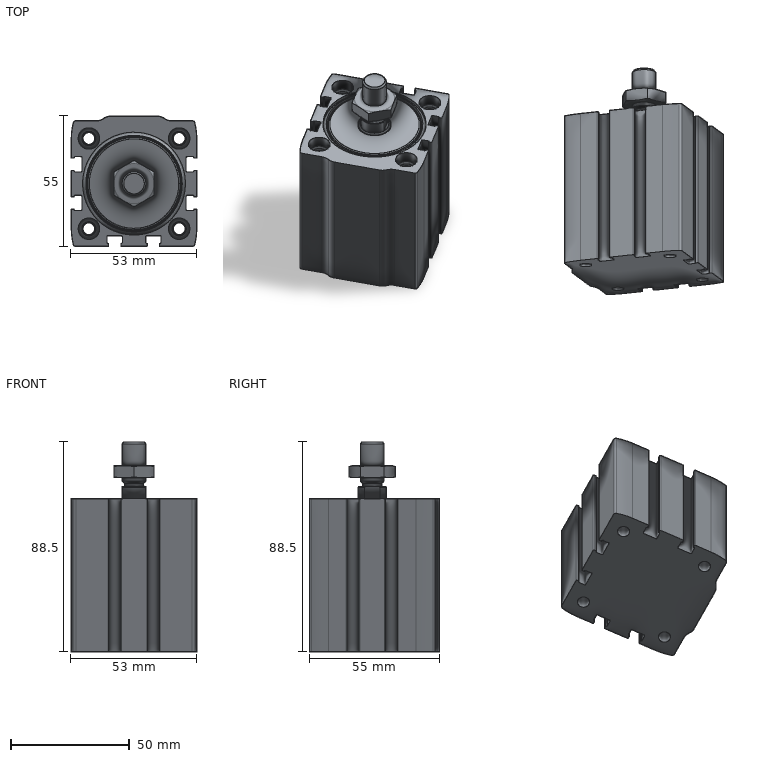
import cadquery as cq
import math

overall_height = 88.5
housing_height = 64.5
housing_width = 53.0
half_width = housing_width / 2

side_flat_half = 18.5
side_arc_radius = 30.1
corner_radius = 1.15
bump_height = 1.95
bump_top_half = 9.8
bump_base_half = 15.75

slot_offset = 8.1
slot_mouth_half = 2.6
slot_inside_half = 3.2
slot_depth = 4.5
slot_neck = 1.2
slot_mouth_fillet = 0.35
slot_shoulder_chamfer = 0.35
slot_floor_fillet = 0.35

hole_offset = 19.0
counterbore_diameter = 9.0
counterbore_depth = 5.0
screw_hole_diameter = 5.0
screw_hole_chamfer = 0.5

cover_recess_diameter = 43.4
cover_drop = 0.4
recess_depth = 1.4
ring_inner_radius = 20.35
ring_drop = 0.5
bore_diameter = 40.0
gap_depth = 1.6
cover_radius = 19.8
cover_step_radius = 19.5
cover_step_drop = 1.15
cover_face_radius = 18.85
cover_edge_drop = 0.7
seal_diameter = 14.1
seal_lip_drop = 0.3
seal_foot_radius = 6.7
seal_groove_drop = 0.9

rod_diameter = 12.0
rod_flats = 10.0
rod_bottom = 35.4
flats_bottom = 64.3
shoulder_height = 69.6
shoulder_chamfer = 0.3
neck_diameter = 8.1
neck_fillet = 0.4
neck_top = 71.0
thread_diameter = 10.0
thread_runout = (thread_diameter - neck_diameter) / 2
tip_diameter = 8.7
tip_chamfer_height = 0.9

nut_bottom = 73.4
nut_height = 5.05
nut_flats = 17.0
nut_corner_drop = 0.35


def make_outline():
    """Square prism with bulging sides, plus the raised bump along the rear."""
    arc_rise = half_width - side_flat_half
    arc_inset = side_arc_radius - math.sqrt(side_arc_radius ** 2 - arc_rise ** 2)
    corner_x = half_width - arc_inset
    prism = (
        cq.Workplane("XY")
        .moveTo(-corner_x, -half_width)
        .lineTo(corner_x, -half_width)
        .radiusArc((half_width, -side_flat_half), -side_arc_radius)
        .lineTo(half_width, side_flat_half)
        .radiusArc((corner_x, half_width), -side_arc_radius)
        .lineTo(-corner_x, half_width)
        .radiusArc((-half_width, side_flat_half), -side_arc_radius)
        .lineTo(-half_width, -side_flat_half)
        .radiusArc((-corner_x, -half_width), -side_arc_radius)
        .close()
        .extrude(housing_height)
        .edges("|Z and (<Y or >Y)")
        .fillet(corner_radius)
    )
    return prism.union(make_bump())


def make_bump():
    """Rear bump whose ends run out in two equal tangent arcs."""
    run_out = bump_base_half - bump_top_half
    arc_radius = (run_out ** 2 + bump_height ** 2) / (4 * bump_height)
    middle_x = (bump_base_half + bump_top_half) / 2
    middle_y = half_width + bump_height / 2
    top_y = half_width + bump_height
    return (
        cq.Workplane("XY")
        .moveTo(-bump_base_half, half_width)
        .radiusArc((-middle_x, middle_y), -arc_radius)
        .radiusArc((-bump_top_half, top_y), arc_radius)
        .lineTo(bump_top_half, top_y)
        .radiusArc((middle_x, middle_y), arc_radius)
        .radiusArc((bump_base_half, half_width), -arc_radius)
        .lineTo(bump_base_half, 0)
        .lineTo(-bump_base_half, 0)
        .close()
        .extrude(housing_height)
    )


def make_slot():
    """Cutter for one T-slot: mouth on the X axis, cutting towards +Y."""
    half = (
        cq.Workplane("XY")
        .lineTo(slot_mouth_half + slot_mouth_fillet, 0)
        .radiusArc((slot_mouth_half, slot_mouth_fillet), slot_mouth_fillet)
        .lineTo(slot_mouth_half, slot_neck)
        .lineTo(slot_inside_half - slot_shoulder_chamfer, slot_neck)
        .lineTo(slot_inside_half, slot_neck + slot_shoulder_chamfer)
        .lineTo(slot_inside_half, slot_depth - slot_floor_fillet)
        .radiusArc((slot_inside_half - slot_floor_fillet, slot_depth), -slot_floor_fillet)
        .lineTo(0, slot_depth)
        .close()
        .extrude(housing_height)
    )
    return half.union(half.mirror("YZ"))


def cut_slots(body):
    """Two T-slots in each of the -Y, +X and -X sides."""
    for angle in (0, 90, -90):
        for offset in (-slot_offset, slot_offset):
            slot = make_slot().translate((offset, -half_width, 0))
            body = body.cut(slot.rotate((0, 0, 0), (0, 0, 1), angle))
    return body


def cut_screw_holes(body):
    """Four counterbored through holes, bevelled at the counterbore floor."""
    hole_radius = screw_hole_diameter / 2
    floor = housing_height - counterbore_depth
    cutter = (
        cq.Workplane("XZ")
        .lineTo(hole_radius, 0)
        .lineTo(hole_radius, floor - screw_hole_chamfer)
        .lineTo(hole_radius + screw_hole_chamfer, floor)
        .lineTo(counterbore_diameter / 2, floor)
        .lineTo(counterbore_diameter / 2, housing_height)
        .lineTo(0, housing_height)
        .close()
        .revolve(360, (0, 0), (0, 1))
    )
    for x in (-hole_offset, hole_offset):
        for y in (-hole_offset, hole_offset):
            body = body.cut(cutter.translate((x, y, 0)))
    return body


def cut_cover_face(body):
    """Sunk cover face with its ring grooves, seal lip and the rod hole."""
    top = housing_height
    rod_radius = rod_diameter / 2
    seal_radius = seal_diameter / 2
    cutter = (
        cq.Workplane("XZ")
        .moveTo(0, rod_bottom)
        .lineTo(rod_radius, rod_bottom)
        .lineTo(rod_radius, top - seal_lip_drop)
        .lineTo(seal_foot_radius, top - seal_groove_drop)
        .lineTo(seal_radius, top - seal_groove_drop)
        .lineTo(seal_radius, top - cover_drop)
        .lineTo(cover_face_radius, top - cover_drop)
        .lineTo(cover_step_radius, top - cover_edge_drop)
        .lineTo(cover_radius, top - cover_step_drop)
        .lineTo(cover_radius, top - gap_depth)
        .lineTo(bore_diameter / 2, top - gap_depth)
        .lineTo(ring_inner_radius, top - ring_drop)
        .lineTo(cover_recess_diameter / 2, top - recess_depth)
        .lineTo(cover_recess_diameter / 2, top)
        .lineTo(0, top)
        .close()
        .revolve(360, (0, 0), (0, 1))
    )
    return body.cut(cutter)


def make_housing():
    body = make_outline()
    body = cut_slots(body)
    body = cut_screw_holes(body)
    return cut_cover_face(body)


def make_rod():
    """Turned piston rod with a threaded end and two wrench flats."""
    rod_radius = rod_diameter / 2
    neck_radius = neck_diameter / 2
    thread_radius = thread_diameter / 2
    rod = (
        cq.Workplane("XZ")
        .moveTo(0, rod_bottom)
        .lineTo(rod_radius, rod_bottom)
        .lineTo(rod_radius, shoulder_height - shoulder_chamfer)
        .lineTo(rod_radius - shoulder_chamfer, shoulder_height)
        .lineTo(neck_radius + neck_fillet, shoulder_height)
        .radiusArc((neck_radius, shoulder_height + neck_fillet), neck_fillet)
        .lineTo(neck_radius, neck_top)
        .lineTo(thread_radius, neck_top + thread_runout)
        .lineTo(thread_radius, overall_height - tip_chamfer_height)
        .lineTo(tip_diameter / 2, overall_height)
        .lineTo(0, overall_height)
        .close()
        .revolve(360, (0, 0), (0, 1))
    )
    flats_height = shoulder_height - flats_bottom
    for side in (-1, 1):
        flat = (
            cq.Workplane("XY")
            .box(rod_diameter, rod_diameter, flats_height, centered=(True, True, False))
            .translate((side * (rod_flats + rod_diameter) / 2, 0, flats_bottom))
        )
        rod = rod.cut(flat)
    return rod


def make_nut():
    """Hexagon nut with corners on the Y axis, bevelled on both faces."""
    point_radius = nut_flats / math.sqrt(3)
    face_radius = nut_flats / 2
    hexagon = (
        cq.Workplane("XY")
        .polygon(6, 2 * point_radius)
        .extrude(nut_height)
        .rotate((0, 0, 0), (0, 0, 1), 90)
    )
    bevel = (
        cq.Workplane("XZ")
        .lineTo(face_radius, 0)
        .lineTo(point_radius, nut_corner_drop)
        .lineTo(point_radius, nut_height - nut_corner_drop)
        .lineTo(face_radius, nut_height)
        .lineTo(0, nut_height)
        .close()
        .revolve(360, (0, 0), (0, 1))
    )
    thread = cq.Workplane("XY").circle(thread_diameter / 2).extrude(nut_height)
    return hexagon.intersect(bevel).cut(thread).translate((0, 0, nut_bottom))


housing = make_housing()
rod = make_rod()
nut = make_nut()

result = cq.Compound.makeCompound([housing.val(), rod.val(), nut.val()])